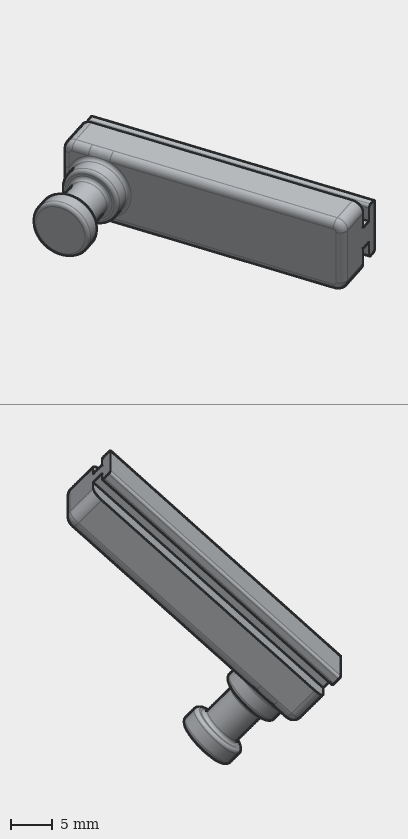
import cadquery as cq

length = 38.1
height = 10.17
total_depth = 18.3
rail_thickness = 1.52
rail_height = 7.62
rail_edge_radius = 0.4
web_height = 3.05
web_depth = 1.52
block_depth = 5.05
block_corner_radius = 1.4
block_front_radius = 1.03

pin_diameter = 7.62
neck_diameter = 5.05
flange_thickness = 2.55
pin_radius = 0.5
pin_x = height / 2 - length / 2

block_back = -(rail_thickness + web_depth)
block_front = block_back - block_depth
collar_front = block_front - flange_thickness
head_front = -total_depth
head_back = head_front + flange_thickness


def bar(bar_height, back, front):
    """Full-length bar centred on X and Z, spanning back to front along Y."""
    return cq.Workplane("XY").box(length, back - front, bar_height).translate((0, (back + front) / 2, 0))


def pin_cylinder(diameter, back, front):
    """Cylinder on the pin axis, spanning back to front along Y."""
    plane = cq.Workplane("XZ", origin=(pin_x, back, 0))
    return plane.circle(diameter / 2).extrude(back - front)


def make_rail():
    flange = bar(rail_height, 0, -rail_thickness).edges("|X").fillet(rail_edge_radius)
    return flange.union(bar(web_height, -rail_thickness, block_back))


def make_block_with_pin():
    block = bar(height, block_back, block_front).edges("|Y").fillet(block_corner_radius)
    collar = pin_cylinder(pin_diameter, block_front, collar_front)
    neck = pin_cylinder(neck_diameter, collar_front, head_back)
    head = pin_cylinder(pin_diameter, head_back, head_front)
    body = block.union(collar).union(neck).union(head)

    pin_edges = cq.selectors.BoxSelector(
        (pin_x - pin_radius, block_front + pin_radius, -pin_radius),
        (pin_x + pin_radius, head_front - pin_radius, pin_radius),
    )
    body = body.edges(pin_edges).fillet(pin_radius)

    front_face = body.faces(cq.selectors.NearestToPointSelector((0, block_front, 0)))
    longest_wire = cq.selectors.LengthNthSelector(-1)
    return front_face.wires(longest_wire).edges().fillet(block_front_radius)


result = make_rail().union(make_block_with_pin())